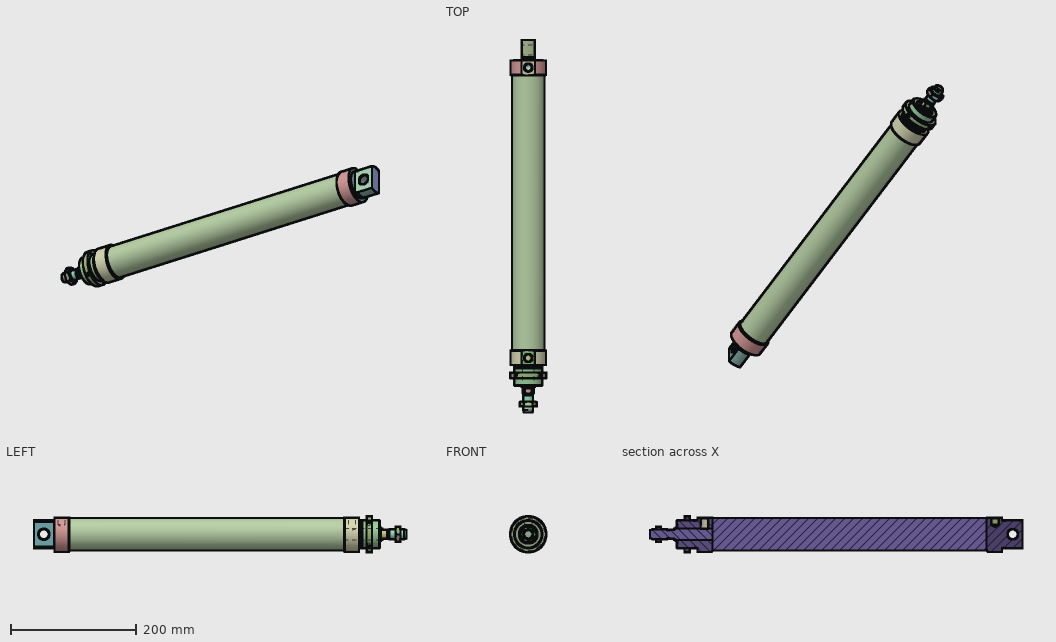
import cadquery as cq
import math


rod_projection = 43.0
neck_length = 33.0
cap_length = 24.0
tube_length = 438.0
eye_length = 33.0

neck_front = rod_projection
front_cap_front = neck_front + neck_length
tube_front = front_cap_front + cap_length
tube_rear = tube_front + tube_length
rear_cap_rear = tube_rear + cap_length
eye_end = rear_cap_rear + eye_length

tube_diameter = 52.4
cap_diameter = 57.0
cap_chamfer = 1.5
neck_diameter = 45.0
neck_chamfer = 1.0
neck_groove_diameter = 43.8
neck_groove_width = 2.0
neck_land = 3.2

port_diameter = 11.45
port_to_outer_face = 11.3
port_mouth_diameter = 13.5
port_flat_height = 26.5
rear_port_depth = 11.0
drill_point_angle = 118.0

recess_diameter = 30.0
recess_depth = 1.0
lip_diameter = 20.8
lip_projection = 2.0

eye_thickness = 21.0
eye_shoulder_length = 1.0
eye_hole_diameter = 16.0
eye_hole_chamfer = 1.0
eye_hole_to_end = 16.0

rod_diameter = 18.0
rod_chamfer_length = 1.0
wrench_flats = 15.0
flats_length = 8.5
thread_diameter = 16.0
thread_length = 28.5
thread_root_diameter = 13.5
tip_chamfer_length = 4.0
runout_length = 1.0
relief_length = 2.0
rod_shoulder = thread_length + relief_length

rod_nut_front = 10.0
rod_nut_thickness = 8.0
rod_nut_across_flats = 24.0
rod_nut_across_corners = rod_nut_across_flats / math.cos(math.pi / 6)

ring_nut_front = 55.0
ring_nut_thickness = 9.0
ring_nut_diameter = 58.0
ring_nut_chamfer = 0.5
spanner_hole_count = 4
spanner_hole_diameter = 5.0
spanner_hole_position = ring_nut_front + 5.5


def cylinder(diameter, start, end):
    """Solid cylinder on the Y axis between two positions."""
    return cq.Workplane("XZ", origin=(0, start, 0)).circle(diameter / 2).extrude(start - end)


def turned(points):
    """Solid of revolution about Y from a closed outline of (radius, position) points."""
    return cq.Workplane("XY").polyline(points).close().revolve(360, (0, 0), (0, 1))


def neck_groove(land_edge, direction):
    """Cutting ring for the groove beside a neck land, with a sloped wall on the side away from the cap."""
    depth = (neck_diameter - neck_groove_diameter) / 2
    floor_radius = neck_groove_diameter / 2
    far_edge = land_edge + direction * neck_groove_width
    return turned(
        [
            (floor_radius, land_edge),
            (floor_radius + depth, land_edge),
            (floor_radius + depth, far_edge),
            (floor_radius, far_edge - direction * depth),
        ]
    )


def cut_port(cap, cap_middle, position, bore):
    """Mill the flat across the top of a cap, then cut the countersunk port with the given bore."""
    chip_height = cap_diameter / 2 - port_flat_height
    chip = cq.Workplane("XY", origin=(0, cap_middle, port_flat_height)).box(
        cap_diameter, cap_length, chip_height, centered=(True, True, False)
    )
    mouth_depth = (port_mouth_diameter - port_diameter) / 2
    mouth = cq.Solid.makeCone(
        port_diameter / 2,
        port_mouth_diameter / 2,
        mouth_depth,
        pnt=cq.Vector(0, position, port_flat_height - mouth_depth),
    )
    return cap.cut(chip).cut(bore).cut(cq.Workplane(mouth))


def port_bore(position, floor):
    """Vertical port bore from the cap flat down to the floor height."""
    return (
        cq.Workplane("XY", origin=(0, position, floor))
        .circle(port_diameter / 2)
        .extrude(port_flat_height - floor)
    )


def drill_point(position, floor):
    """Conical bottom that a drill leaves below the floor height."""
    point_depth = port_diameter / 2 / math.tan(math.radians(drill_point_angle / 2))
    cone = cq.Solid.makeCone(
        port_diameter / 2, 0, point_depth, pnt=cq.Vector(0, position, floor), dir=cq.Vector(0, 0, -1)
    )
    return cq.Workplane(cone)


def make_tube():
    return cylinder(tube_diameter, tube_front, tube_rear)


def make_front_cap():
    head = cylinder(cap_diameter, front_cap_front, tube_front).faces(">Y").chamfer(cap_chamfer)
    neck = cylinder(neck_diameter, neck_front, front_cap_front).faces("<Y").chamfer(neck_chamfer)
    groove = neck_groove(front_cap_front - neck_land, -1)
    recess_floor = neck_front + recess_depth
    recess = cylinder(recess_diameter, neck_front, recess_floor)
    lip = cylinder(lip_diameter, neck_front - lip_projection, recess_floor)
    cap = head.union(neck).cut(groove).cut(recess).union(lip)
    port_position = front_cap_front + port_to_outer_face
    cap = cut_port(cap, front_cap_front + cap_length / 2, port_position, port_bore(port_position, 0))
    return cap.cut(cylinder(rod_diameter, neck_front - lip_projection, tube_front))


def make_rear_cap():
    head = cylinder(cap_diameter, tube_rear, rear_cap_rear).faces("<Y").chamfer(cap_chamfer)
    eye_start = rear_cap_rear + eye_shoulder_length
    shoulder = cylinder(neck_diameter, rear_cap_rear, eye_start)
    slab = cq.Workplane("XY", origin=(0, (eye_start + eye_end) / 2, 0)).box(
        eye_thickness, eye_end - eye_start, neck_diameter
    )
    eye = cylinder(neck_diameter, eye_start, eye_end).intersect(slab)
    pin_hole = (
        cq.Workplane("YZ", origin=(-eye_thickness / 2, 0, 0))
        .center(eye_end - eye_hole_to_end, 0)
        .circle(eye_hole_diameter / 2)
        .extrude(eye_thickness)
    )
    for side in (-1, 1):
        countersink = cq.Solid.makeCone(
            eye_hole_diameter / 2 + eye_hole_chamfer,
            eye_hole_diameter / 2,
            eye_hole_chamfer,
            pnt=cq.Vector(side * eye_thickness / 2, eye_end - eye_hole_to_end, 0),
            dir=cq.Vector(-side, 0, 0),
        )
        pin_hole = pin_hole.union(cq.Workplane(countersink))
    groove = neck_groove(rear_cap_rear + neck_land, 1)
    cap = head.union(shoulder).union(eye).cut(groove).cut(pin_hole)
    port_position = rear_cap_rear - port_to_outer_face
    port_floor = port_flat_height - rear_port_depth
    bore = port_bore(port_position, port_floor).union(drill_point(port_position, port_floor))
    return cut_port(cap, tube_rear + cap_length / 2, port_position, bore)


def make_rod():
    radius = rod_diameter / 2
    thread_radius = thread_diameter / 2
    root_radius = thread_root_diameter / 2
    rod = turned(
        [
            (0, 0),
            (root_radius, 0),
            (thread_radius, tip_chamfer_length),
            (thread_radius, thread_length - runout_length),
            (root_radius, thread_length),
            (root_radius, rod_shoulder),
            (thread_radius, rod_shoulder),
            (radius, rod_shoulder + rod_chamfer_length),
            (radius, tube_front),
            (0, tube_front),
        ]
    )
    flat_depth = (rod_diameter - wrench_flats) / 2
    chip = cq.Workplane("XY", origin=(0, rod_shoulder + flats_length / 2, wrench_flats / 2)).box(
        rod_diameter, flats_length, flat_depth, centered=(True, True, False)
    )
    return rod.cut(chip).cut(chip.mirror("XY"))


def make_rod_nut():
    rear = rod_nut_front + rod_nut_thickness
    hexagon = (
        cq.Workplane("XZ", origin=(0, rod_nut_front, 0))
        .polygon(6, rod_nut_across_corners)
        .extrude(-rod_nut_thickness)
    )
    corner_chamfer = (rod_nut_across_corners - rod_nut_across_flats) / 2
    blank = cylinder(rod_nut_across_corners, rod_nut_front, rear).faces(">Y").chamfer(corner_chamfer)
    return hexagon.intersect(blank).cut(cylinder(thread_diameter, rod_nut_front, rear))


def make_ring_nut():
    rear = ring_nut_front + ring_nut_thickness
    disc = cylinder(ring_nut_diameter, ring_nut_front, rear).faces("<Y").chamfer(ring_nut_chamfer)
    nut = disc.cut(cylinder(neck_diameter, ring_nut_front, rear))
    hole = (
        cq.Workplane("YZ")
        .center(spanner_hole_position, 0)
        .circle(spanner_hole_diameter / 2)
        .extrude(ring_nut_diameter / 2)
    )
    pitch = 360 / spanner_hole_count
    for index in range(spanner_hole_count):
        nut = nut.cut(hole.rotate((0, 0, 0), (0, 1, 0), pitch * (index + 0.5)))
    return nut


tube = make_tube()
front_cap = make_front_cap()
rear_cap = make_rear_cap()
rod = make_rod()
rod_nut = make_rod_nut()
ring_nut = make_ring_nut()

result = cq.Compound.makeCompound(
    [tube.val(), front_cap.val(), rear_cap.val(), rod.val(), rod_nut.val(), ring_nut.val()]
)